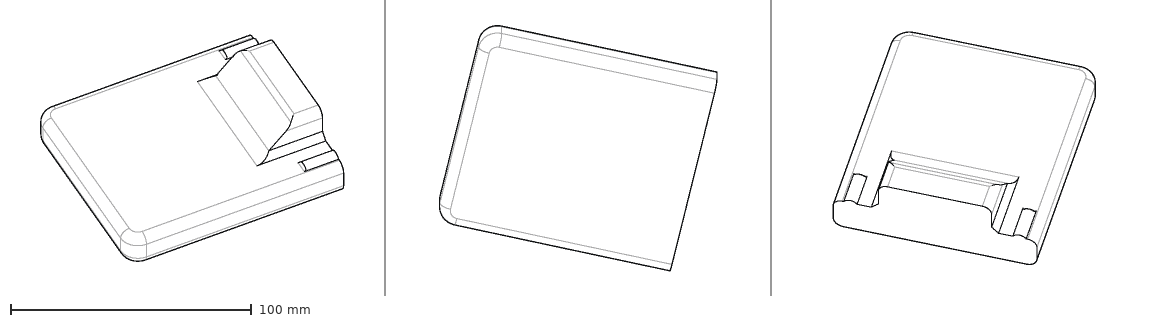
import cadquery as cq
import math

BASE_WIDTH = 87.84
BASE_LENGTH = 99.86
BASE_HEIGHT = 16.0
CORNER_RADIUS = 8.0
TOP_EDGE_RADIUS = 4.0
BOTTOM_EDGE_RADIUS = 4.5

HOUSING_WIDTH = 48.84
HOUSING_HEIGHT = 15.0
HOUSING_FOOT = 28.0
SLOPE_ANGLE = math.radians(45)
HOUSING_EDGE_RADIUS = 4.0
HOUSING_TOE_RADIUS = 10.0
FLARE = 3.0

RIB_RADIUS = 3.5
RIB_HEIGHT = 1.5
RIB_LENGTH = 15.0
RIB_TOE_RADIUS = 1.0
RIB_INSET = 7.5

BACK_Y = BASE_LENGTH / 2
BLEND_TANGENT = math.tan(SLOPE_ANGLE / 2)
OVERLAP = 1.0


def back_plane(x=0):
    """Workplane on the back face, origin at the base's top surface, normal along -Y."""
    return cq.Workplane("XZ", origin=(x, BACK_Y, BASE_HEIGHT))


def side_plane(x=0):
    """YZ workplane at x, origin at the back edge of the base's top surface."""
    return cq.Workplane("YZ", origin=(x, BACK_Y, BASE_HEIGHT))


def make_base():
    base = cq.Workplane("XY").box(BASE_WIDTH, BASE_LENGTH, BASE_HEIGHT, centered=(True, True, False))
    base = base.edges("|Z and <Y").fillet(CORNER_RADIUS)
    base = base.faces(">Z").edges("not >Y").fillet(TOP_EDGE_RADIUS)
    return base.faces("<Z").edges("not >Y").fillet(BOTTOM_EDGE_RADIUS)


def make_housing():
    half = HOUSING_WIDTH / 2
    foot = half + FLARE
    toe_tangent = HOUSING_TOE_RADIUS * BLEND_TANGENT
    length = HOUSING_FOOT + toe_tangent

    body = (
        back_plane()
        .moveTo(-foot, -OVERLAP)
        .lineTo(foot, -OVERLAP)
        .lineTo(foot, 0)
        .lineTo(half, FLARE)
        .lineTo(half, HOUSING_HEIGHT - HOUSING_EDGE_RADIUS)
        .radiusArc((half - HOUSING_EDGE_RADIUS, HOUSING_HEIGHT), -HOUSING_EDGE_RADIUS)
        .lineTo(HOUSING_EDGE_RADIUS - half, HOUSING_HEIGHT)
        .radiusArc((-half, HOUSING_HEIGHT - HOUSING_EDGE_RADIUS), -HOUSING_EDGE_RADIUS)
        .lineTo(-half, FLARE)
        .lineTo(-foot, 0)
        .close()
        .extrude(length)
    )

    shoulder = HOUSING_FOOT - HOUSING_HEIGHT
    shoulder_tangent = HOUSING_EDGE_RADIUS * BLEND_TANGENT
    shoulder_drop = shoulder_tangent * math.sin(SLOPE_ANGLE)
    toe_rise = toe_tangent * math.sin(SLOPE_ANGLE)
    outline = (
        side_plane()
        .moveTo(0, -OVERLAP)
        .lineTo(0, HOUSING_HEIGHT)
        .lineTo(shoulder_tangent - shoulder, HOUSING_HEIGHT)
        .radiusArc((-shoulder - shoulder_drop, HOUSING_HEIGHT - shoulder_drop), -HOUSING_EDGE_RADIUS)
        .lineTo(toe_rise - HOUSING_FOOT, toe_rise)
        .radiusArc((-length, 0), HOUSING_TOE_RADIUS)
        .lineTo(-length, -OVERLAP)
        .close()
        .extrude(foot, both=True)
    )
    return body.intersect(outline)


def make_rib(x):
    length = RIB_LENGTH + RIB_TOE_RADIUS
    rod = back_plane(x).center(0, RIB_HEIGHT - RIB_RADIUS).circle(RIB_RADIUS).extrude(length)
    outline = (
        side_plane(x)
        .moveTo(0, -OVERLAP)
        .lineTo(0, RIB_HEIGHT)
        .lineTo(-RIB_LENGTH, RIB_HEIGHT)
        .lineTo(-RIB_LENGTH, RIB_TOE_RADIUS)
        .radiusArc((-length, 0), RIB_TOE_RADIUS)
        .lineTo(-length, -OVERLAP)
        .close()
        .extrude(RIB_RADIUS, both=True)
    )
    return rod.intersect(outline)


result = make_base().union(make_housing())
for side in (-1, 1):
    result = result.union(make_rib(side * (BASE_WIDTH / 2 - RIB_INSET)))